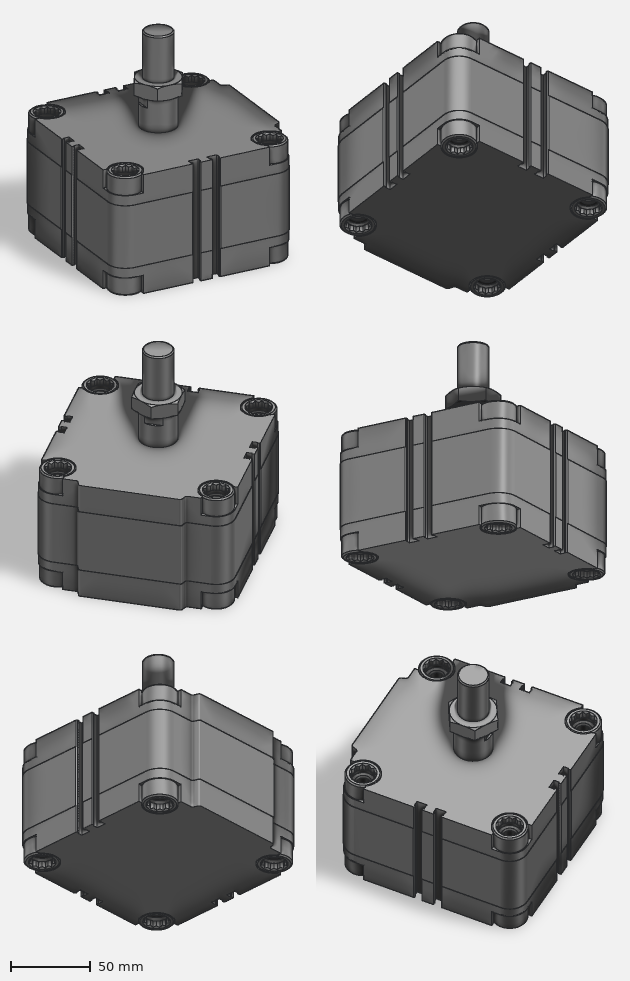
import cadquery as cq
import math


half_width = 64.0
corner_radius = 12.5
corner_offset = half_width - corner_radius
cap_inset = 0.25
hump_back = 69.0
hump_half_width = 33.5
hump_draft = math.radians(20)
cap_hump_fillet = 1.8
barrel_hump_fillet = 1.2

slot_offset = 6.7
slot_mouth_width = 5.3
slot_width = 6.8
slot_lip = 2.1
slot_depth = 5.6
slot_mouth_chamfer = 0.8

cap_height = 19.3
body_height = 81.5
barrel_height = body_height - 2 * cap_height

head_radius = 11.5
head_height = 12.5
head_chamfer = 1.0
relief_size = 19.0
socket_point_diameter = 16.5
socket_depth = 5.0
socket_mouth_radius = 8.7
socket_mouth_cone_depth = 1.7
socket_relief_radius = 15.4 / 2
socket_floor_depth = 7.4
hole_mouth_radius = 10.5 / 2
hole_radius = 8.38 / 2

rod_diameter = 25.0
rod_length = 23.0
flat_across = 22.0
flat_length = 7.0
thread_diameter = 20.0
thread_end_diameter = 18.38
thread_chamfer_height = 1.0
rod_total_length = 65.0
nut_height = 10.0
nut_across_flats = 30.0
nut_chamfer_angle = math.radians(20)


def band(height, inset, hump_fillet):
    """Rounded square with a trapezoid hump on +Y, all sides moved in by the inset; lower face at Z = 0."""
    half_size = half_width - inset
    hump_top = hump_back - inset
    top_half = hump_half_width - inset * math.tan((math.pi / 2 - hump_draft) / 2)
    root_half = top_half + (hump_top - half_size) * math.tan(hump_draft)
    square = (
        cq.Workplane("XY")
        .box(2 * half_size, 2 * half_size, height, centered=(True, True, False))
        .edges("|Z")
        .fillet(half_size - corner_offset)
    )
    hump = (
        cq.Workplane("XY")
        .moveTo(-root_half, 0)
        .lineTo(-root_half, half_size)
        .lineTo(-top_half, hump_top)
        .lineTo(top_half, hump_top)
        .lineTo(root_half, half_size)
        .lineTo(root_half, 0)
        .close()
        .extrude(height)
    )
    margin = 1.0
    hump_edges = cq.selectors.BoxSelector(
        (-root_half - margin, half_size - margin, -margin),
        (root_half + margin, hump_top + margin, height + margin),
    )
    return square.union(hump).edges(hump_edges).edges("|Z").fillet(hump_fillet)


def slot_cutter():
    """T-slot through the -Y face, on the +X side of its center line, with the outer mouth edge chamfered."""
    half_mouth = slot_mouth_width / 2
    half_channel = slot_width / 2
    face_y = -half_width
    lip_y = face_y + slot_lip
    floor_y = face_y + slot_depth
    return (
        cq.Workplane("XY")
        .center(slot_offset, 0)
        .moveTo(-half_mouth, face_y)
        .lineTo(-half_mouth, lip_y)
        .lineTo(-half_channel, lip_y)
        .lineTo(-half_channel, floor_y)
        .lineTo(half_channel, floor_y)
        .lineTo(half_channel, lip_y)
        .lineTo(half_mouth, lip_y)
        .lineTo(half_mouth, face_y + slot_mouth_chamfer)
        .lineTo(half_mouth + slot_mouth_chamfer, face_y)
        .close()
        .extrude(body_height)
    )


def corner_relief_cutter():
    """Square notch at the +X+Y corner around the screw head, clear of the head itself."""
    relief_center = half_width - relief_size / 2
    notch = (
        cq.Workplane("XY")
        .center(relief_center, relief_center)
        .rect(relief_size, relief_size)
        .extrude(head_height)
    )
    head = (
        cq.Workplane("XY")
        .center(corner_offset, corner_offset)
        .circle(head_radius)
        .extrude(head_height)
        .faces(">Z")
        .chamfer(head_chamfer)
    )
    rim_groove = (
        cq.Workplane("XY", origin=(0, 0, head_height - head_chamfer))
        .center(corner_offset, corner_offset)
        .circle(head_radius)
        .extrude(head_chamfer)
    )
    return notch.union(rim_groove).cut(head)


def socket_cutter():
    """Twelve-point socket with a conical mouth, a relief below the points and a chamfered hole.

    The mouth is at Z = 0 and the hole reaches halfway through the housing.
    """
    hexagon = cq.Workplane("XY").polygon(6, socket_point_diameter).extrude(-socket_depth)
    points = hexagon.union(hexagon.rotate((0, 0, 0), (0, 0, 1), 30))
    cone_end_radius = socket_mouth_radius - socket_mouth_cone_depth
    hole_chamfer = hole_mouth_radius - hole_radius
    hole_depth = body_height / 2
    turned = (
        cq.Workplane("XZ")
        .moveTo(0, 0)
        .lineTo(socket_mouth_radius, 0)
        .lineTo(cone_end_radius, -socket_mouth_cone_depth)
        .lineTo(cone_end_radius, -socket_depth)
        .lineTo(socket_relief_radius, -socket_depth)
        .lineTo(socket_relief_radius, -socket_floor_depth)
        .lineTo(hole_mouth_radius, -socket_floor_depth)
        .lineTo(hole_radius, -socket_floor_depth - hole_chamfer)
        .lineTo(hole_radius, -hole_depth)
        .lineTo(0, -hole_depth)
        .close()
        .revolve(360, (0, 0, 0), (0, 1, 0))
    )
    return points.union(turned)


def housing_bands():
    """Caps and barrel joined into one block."""
    cap = band(cap_height, cap_inset, cap_hump_fillet)
    barrel = band(barrel_height, 0, barrel_hump_fillet)
    front_cap = cap.translate((0, 0, body_height - cap_height))
    return cap.union(barrel.translate((0, 0, cap_height))).union(front_cap)


def housing():
    """Cylinder body with T-slots and a screw head at each corner of both ends."""
    body = housing_bands()

    right_slot = slot_cutter()
    for slot in (right_slot, right_slot.mirror("YZ")):
        for face_angle in (-90, 0, 90):
            body = body.cut(slot.rotate((0, 0, 0), (0, 0, 1), face_angle))

    front_relief = corner_relief_cutter().translate((0, 0, body_height - head_height))
    front_socket = socket_cutter().translate((corner_offset, corner_offset, body_height))
    middle = (0, 0, body_height / 2)
    for front_tool in (front_relief, front_socket):
        for tool in (front_tool, front_tool.mirror("XY", middle)):
            for corner_angle in (0, 90, 180, 270):
                body = body.cut(tool.rotate((0, 0, 0), (0, 0, 1), corner_angle))
    return body


def piston_rod():
    """Rod with two wrench flats and a threaded end, standing on the front face of the housing."""
    rod = cq.Workplane("XY").circle(rod_diameter / 2).extrude(rod_length)
    flat_cut = (rod_diameter - flat_across) / 2
    flat = cq.Workplane("XY").box(rod_diameter, flat_cut, flat_length, centered=(True, True, False))
    for side in (-1, 1):
        flat_y = side * (flat_across + flat_cut) / 2
        rod = rod.cut(flat.translate((0, flat_y, rod_length - flat_length)))
    thread = (
        cq.Workplane("XY", origin=(0, 0, rod_length))
        .circle(thread_diameter / 2)
        .extrude(rod_total_length - rod_length)
        .faces(">Z")
        .chamfer(thread_chamfer_height, (thread_diameter - thread_end_diameter) / 2)
    )
    return rod.union(thread).translate((0, 0, body_height))


def lock_nut():
    """Hexagon nut on the thread, corners chamfered by cones, points toward +Y and -Y."""
    corner_diameter = nut_across_flats / math.cos(math.pi / 6)
    hexagon = cq.Workplane("XY").polygon(6, corner_diameter).extrude(nut_height)
    face_radius = nut_across_flats / 2
    rim_radius = corner_diameter / 2
    drop = (rim_radius - face_radius) * math.tan(nut_chamfer_angle)
    envelope = (
        cq.Workplane("XZ")
        .moveTo(0, 0)
        .lineTo(face_radius, 0)
        .lineTo(rim_radius, drop)
        .lineTo(rim_radius, nut_height - drop)
        .lineTo(face_radius, nut_height)
        .lineTo(0, nut_height)
        .close()
        .revolve(360, (0, 0, 0), (0, 1, 0))
    )
    bore = cq.Workplane("XY").circle(thread_diameter / 2).extrude(nut_height)
    nut = hexagon.rotate((0, 0, 0), (0, 0, 1), 30).intersect(envelope).cut(bore)
    return nut.translate((0, 0, body_height + rod_length))


result = cq.Compound.makeCompound([housing().val(), piston_rod().val(), lock_nut().val()])